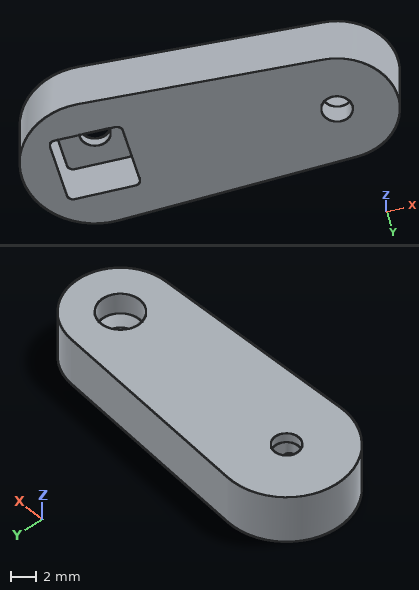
import cadquery as cq
import math

length = 30.98
thickness = 5.0
large_diameter = 12.0
small_diameter = 10.0
hole_diameter = 2.5
recess_diameter = 4.1
recess_depth = 2.2
socket_side = 6.0
socket_corner_radius = 0.5
socket_roof = 1.0

large_radius = large_diameter / 2
small_radius = small_diameter / 2

large_x = large_radius - length / 2
small_x = length / 2 - small_radius
center_distance = small_x - large_x

tangent_cos = (large_radius - small_radius) / center_distance
tangent_sin = math.sqrt(1 - tangent_cos**2)


def tangent_point(center_x, radius, side):
    """Point where the straight flank on the given Y side meets an end arc."""
    return (center_x + radius * tangent_cos, side * radius * tangent_sin)


def make_body():
    """Tapered plate with two round ends joined by tangent flanks."""
    return (
        cq.Workplane("XY")
        .moveTo(*tangent_point(large_x, large_radius, 1))
        .threePointArc((-length / 2, 0), tangent_point(large_x, large_radius, -1))
        .lineTo(*tangent_point(small_x, small_radius, -1))
        .threePointArc((length / 2, 0), tangent_point(small_x, small_radius, 1))
        .close()
        .extrude(thickness)
    )


def make_through_holes():
    """Equal through holes at the two end centres."""
    return (
        cq.Workplane("XY")
        .pushPoints([(large_x, 0), (small_x, 0)])
        .circle(hole_diameter / 2)
        .extrude(thickness)
    )


def make_countersunk_recess():
    """Straight recess in the top of the small end, with a 45 degree cone down to the through hole."""
    hole_radius = hole_diameter / 2
    recess_radius = recess_diameter / 2
    recess_floor = thickness - recess_depth
    cone_bottom = recess_floor - (recess_radius - hole_radius)
    return (
        cq.Workplane("XZ")
        .moveTo(0, cone_bottom)
        .lineTo(hole_radius, cone_bottom)
        .lineTo(recess_radius, recess_floor)
        .lineTo(recess_radius, thickness)
        .lineTo(0, thickness)
        .close()
        .revolve(360, (0, 0), (0, 1))
        .translate((small_x, 0, 0))
    )


def make_square_socket():
    """Square socket with rounded corners, sunk from the bottom of the large end."""
    return (
        cq.Workplane("XY", origin=(large_x, 0, 0))
        .rect(socket_side, socket_side)
        .extrude(thickness - socket_roof)
        .edges("|Z")
        .fillet(socket_corner_radius)
    )


result = (
    make_body()
    .cut(make_through_holes())
    .cut(make_countersunk_recess())
    .cut(make_square_socket())
)